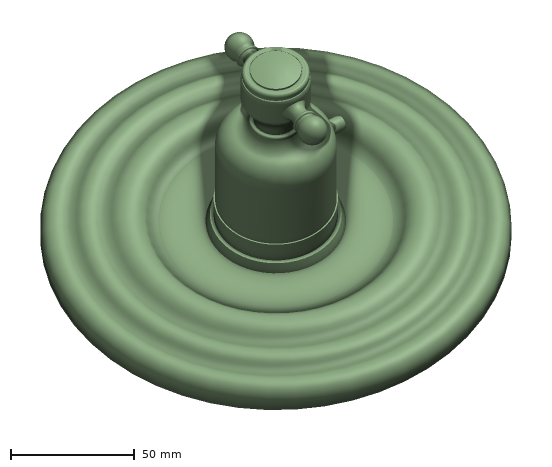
import cadquery as cq
import math

PLATE_RADIUS = 95.2
RIM_HEIGHT = 4.0
PLATE_WAVE = [(86.3, 10.0), (80.0, 10.9), (72.8, 11.8), (65.7, 12.5), (52.5, 10.9)]
FLOOR_RADIUS = 47.5
FLOOR_HEIGHT = 8.0

SEAT_BOTTOM_RADIUS = 28.4
SEAT_TOP_RADIUS = 26.7
SEAT_TOP = 12.2

COLLAR_RADIUS = 25.1
COLLAR_TOP = 21.7
BODY_RADIUS = 24.5
BODY_TOP = 54.0
SHOULDER_RADIUS = 16.5
SHOULDER_TOP = 63.6
LIP_RADIUS = 10.9
LIP_BOTTOM = 68.5
LIP_TOP = 70.3
LIP_ROUND = 0.8
NECK_RADIUS = 9.1

HUB_BOTTOM = 79.6
HUB_BOTTOM_RADIUS = 9.5
HUB_CHAMFER_RADIUS = 13.5
HUB_CHAMFER_TOP = 81.3
HUB_RADIUS = 14.3
HUB_SIDE_BOTTOM = 83.0
HUB_SIDE_TOP = 93.3
HUB_TOP = 95.5
CAP_RADIUS = 13.7
CAP_GROOVE_RADIUS = 13.0
CAP_BOTTOM = 96.2
CAP_SIDE_TOP = 97.7
BEZEL_RADIUS = 12.0
BEZEL_TOP = 99.0
BUTTON_GAP_RADIUS = 10.9
BUTTON_GAP_BOTTOM = 98.7
BUTTON_RADIUS = 10.3
BUTTON_EDGE = 99.6
TOTAL_HEIGHT = 101.0

ARM_HEIGHT = 88.2
ARM_ROOT = 13.3
ARM_ROOT_RADIUS = 5.5
WAIST_AT = 17.3
WAIST_RADIUS = 3.71
BEAD_START = 20.4
BEAD_END = 21.7
BEAD_BASE_RADIUS = 4.5
BEAD_RADIUS = 5.24
BALL_START = 23.2
BALL_CENTER = 26.9
BALL_RADIUS = 6.1

PIN_RADIUS = 3.2
PIN_HEIGHT = 48.4
PIN_END = 32.0
PIN_TIP_LENGTH = 1.7
PIN_TIP_RADIUS = 2.7


def plate():
    """Turned plate whose top is a chain of arcs, each tangent to the one before."""
    outline = cq.Workplane("XZ").lineTo(PLATE_RADIUS, 0).lineTo(PLATE_RADIUS, RIM_HEIGHT)
    for point in PLATE_WAVE + [(FLOOR_RADIUS, FLOOR_HEIGHT)]:
        outline = outline.tangentArcPoint(point, relative=False)
    return outline.lineTo(0, FLOOR_HEIGHT).close().revolve(360, (0, 0), (0, 1))


def body():
    """Seat, collar, bell body and neck turned in one piece."""
    outline = (
        cq.Workplane("XZ")
        .lineTo(SEAT_BOTTOM_RADIUS, 0)
        .lineTo(SEAT_BOTTOM_RADIUS, FLOOR_HEIGHT)
        .lineTo(SEAT_TOP_RADIUS, SEAT_TOP)
        .lineTo(COLLAR_RADIUS, SEAT_TOP)
        .lineTo(COLLAR_RADIUS, COLLAR_TOP)
        .lineTo(BODY_RADIUS, COLLAR_TOP)
        .lineTo(BODY_RADIUS, BODY_TOP)
        .tangentArcPoint((SHOULDER_RADIUS, SHOULDER_TOP), relative=False)
        .tangentArcPoint((LIP_RADIUS, LIP_BOTTOM), relative=False)
        .lineTo(LIP_RADIUS, LIP_TOP - LIP_ROUND)
        .tangentArcPoint((LIP_RADIUS - LIP_ROUND, LIP_TOP), relative=False)
        .lineTo(NECK_RADIUS, LIP_TOP)
        .lineTo(NECK_RADIUS, HUB_SIDE_BOTTOM)
        .lineTo(0, HUB_SIDE_BOTTOM)
        .close()
    )
    return outline.revolve(360, (0, 0), (0, 1))


def hub():
    """Handle hub with a grooved cap and a domed button set off by a narrow gap."""
    dome_rise = TOTAL_HEIGHT - BUTTON_EDGE
    dome_radius = (BUTTON_RADIUS**2 + dome_rise**2) / (2 * dome_rise)
    half_radius = BUTTON_RADIUS / 2
    half_height = TOTAL_HEIGHT - dome_radius + math.sqrt(dome_radius**2 - half_radius**2)
    outline = (
        cq.Workplane("XZ")
        .moveTo(0, HUB_BOTTOM)
        .lineTo(HUB_BOTTOM_RADIUS, HUB_BOTTOM)
        .lineTo(HUB_CHAMFER_RADIUS, HUB_CHAMFER_TOP)
        .lineTo(HUB_RADIUS, HUB_SIDE_BOTTOM)
        .lineTo(HUB_RADIUS, HUB_SIDE_TOP)
        .tangentArcPoint((CAP_RADIUS, HUB_TOP), relative=False)
        .lineTo(CAP_GROOVE_RADIUS, HUB_TOP)
        .lineTo(CAP_GROOVE_RADIUS, CAP_BOTTOM)
        .lineTo(CAP_RADIUS, CAP_BOTTOM)
        .lineTo(CAP_RADIUS, CAP_SIDE_TOP)
        .tangentArcPoint((BEZEL_RADIUS, BEZEL_TOP), relative=False)
        .lineTo(BUTTON_GAP_RADIUS, BEZEL_TOP)
        .lineTo(BUTTON_GAP_RADIUS, BUTTON_GAP_BOTTOM)
        .lineTo(BUTTON_RADIUS, BUTTON_GAP_BOTTOM)
        .lineTo(BUTTON_RADIUS, BUTTON_EDGE)
        .threePointArc((half_radius, half_height), (0, TOTAL_HEIGHT))
        .close()
    )
    return outline.revolve(360, (0, 0), (0, 1))


def arm():
    """Ball-ended arm pointing along +X."""
    ball_start_radius = math.sqrt(BALL_RADIUS**2 - (BALL_CENTER - BALL_START) ** 2)
    outline = (
        cq.Workplane("XY")
        .lineTo(0, ARM_ROOT_RADIUS)
        .lineTo(ARM_ROOT, ARM_ROOT_RADIUS)
        .threePointArc((WAIST_AT, WAIST_RADIUS), (BEAD_START, BEAD_BASE_RADIUS))
        .threePointArc(((BEAD_START + BEAD_END) / 2, BEAD_RADIUS), (BEAD_END, BEAD_BASE_RADIUS))
        .lineTo(BALL_START, ball_start_radius)
        .threePointArc((BALL_CENTER, BALL_RADIUS), (BALL_CENTER + BALL_RADIUS, 0))
        .close()
    )
    return outline.revolve(360, (0, 0), (1, 0)).translate((0, 0, ARM_HEIGHT))


def stop_pin():
    """Pin with a slightly tapered tip pointing along +Y."""
    outline = (
        cq.Workplane("XY")
        .lineTo(PIN_RADIUS, 0)
        .lineTo(PIN_RADIUS, PIN_END - PIN_TIP_LENGTH)
        .lineTo(PIN_TIP_RADIUS, PIN_END)
        .lineTo(0, PIN_END)
        .close()
    )
    return outline.revolve(360, (0, 0), (0, 1)).translate((0, 0, PIN_HEIGHT))


result = plate().union(body()).union(hub()).union(stop_pin())
for turn in (0, 180):
    result = result.union(arm().rotate((0, 0, 0), (0, 0, 1), turn))